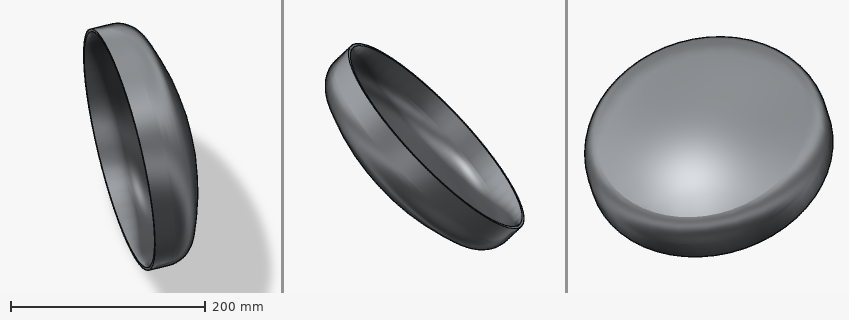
import cadquery as cq
import math

outer_diameter = 256.0
inner_diameter = 250.0
flange_length = 22.0
crown_radius = outer_diameter
knuckle_radius = 0.1 * outer_diameter

inner_radius = inner_diameter / 2
wall = (outer_diameter - inner_diameter) / 2

knuckle_center_x = inner_radius - knuckle_radius
center_distance = crown_radius - knuckle_radius
crown_half_angle = math.asin(knuckle_center_x / center_distance)
crown_center_y = flange_length - center_distance * math.cos(crown_half_angle)
knuckle_mid_angle = (crown_half_angle + math.pi / 2) / 2


def knuckle_point(offset, angle):
    """Point on the knuckle grown by offset, at an angle from the head axis."""
    radius = knuckle_radius + offset
    return knuckle_center_x + radius * math.sin(angle), flange_length + radius * math.cos(angle)


def flange_and_knuckle(offset):
    """Filled flange and knuckle, up to the plane where the crown begins."""
    radius = inner_radius + offset
    crown_edge = knuckle_point(offset, crown_half_angle)
    profile = (
        cq.Workplane("XY")
        .lineTo(radius, 0)
        .lineTo(radius, flange_length)
        .threePointArc(knuckle_point(offset, knuckle_mid_angle), crown_edge)
        .lineTo(0, crown_edge[1])
        .close()
    )
    return profile.revolve(360, (0, 0, 0), (0, 1, 0))


def crown_cap(offset):
    """Filled spherical cap beyond the knuckle."""
    radius = crown_radius + offset
    edge_radius, edge_y = knuckle_point(offset, crown_half_angle)
    sphere = cq.Workplane("XY").sphere(radius).translate((0, crown_center_y, 0))
    column = cq.Workplane("XZ", origin=(0, edge_y, 0)).circle(edge_radius).extrude(-radius)
    return sphere.intersect(column)


def filled_head(offset):
    """Filled head whose surface lies offset outside the inner surface."""
    return flange_and_knuckle(offset).union(crown_cap(offset))


result = filled_head(wall).cut(filled_head(0))